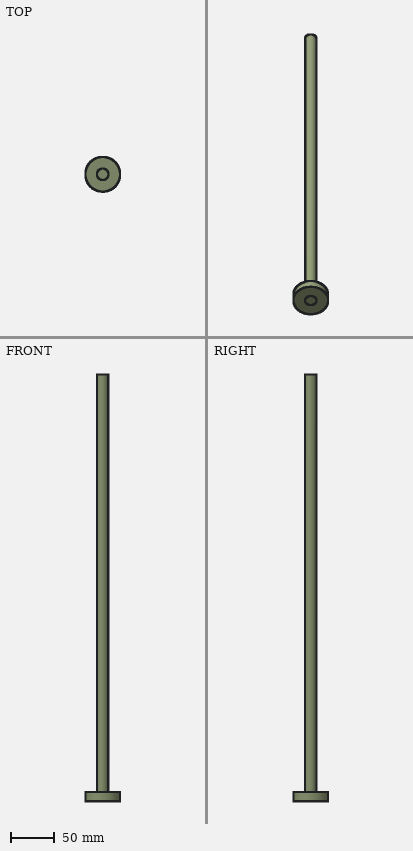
import cadquery as cq

total_height = 488.0
base_diameter = 40.0
base_thickness = 10.5
rod_diameter = 13.0


def make_base():
    """Round foot disc, resting on Z = 0, with a through hole for the rod."""
    disc = cq.Workplane("XY").circle(base_diameter / 2)
    return disc.circle(rod_diameter / 2).extrude(base_thickness)


def make_rod():
    """Slender round rod that fills the hole in the disc and ends flush with its underside."""
    return cq.Workplane("XY").circle(rod_diameter / 2).extrude(total_height)


base = make_base()
rod = make_rod()

result = cq.Compound.makeCompound([base.val(), rod.val()])